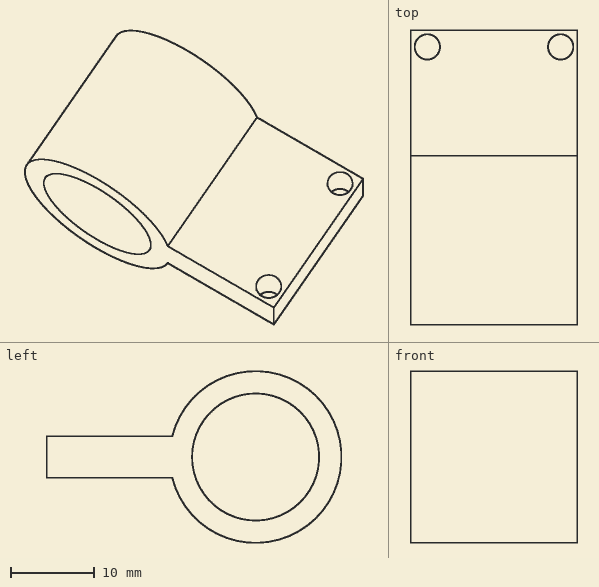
import cadquery as cq

width = 20.0
overall_length = 35.3
tube_diameter = 20.6
bore_diameter = 15.2
plate_thickness = 5.0
hole_diameter = 3.0
hole_inset = 2.0

plate_end = overall_length - tube_diameter / 2
hole_x = width / 2 - hole_inset
hole_y = plate_end - hole_inset


def cylinder_along_x(diameter):
    return cq.Workplane("YZ").circle(diameter / 2).extrude(width / 2, both=True)


plate = cq.Workplane("XY").box(width, plate_end, plate_thickness, centered=(True, False, True))

mounting_holes = (
    cq.Workplane("XY")
    .pushPoints([(-hole_x, hole_y), (hole_x, hole_y)])
    .circle(hole_diameter / 2)
    .extrude(plate_thickness, both=True)
)

body = cylinder_along_x(tube_diameter).union(plate)
result = body.cut(cylinder_along_x(bore_diameter)).cut(mounting_holes)